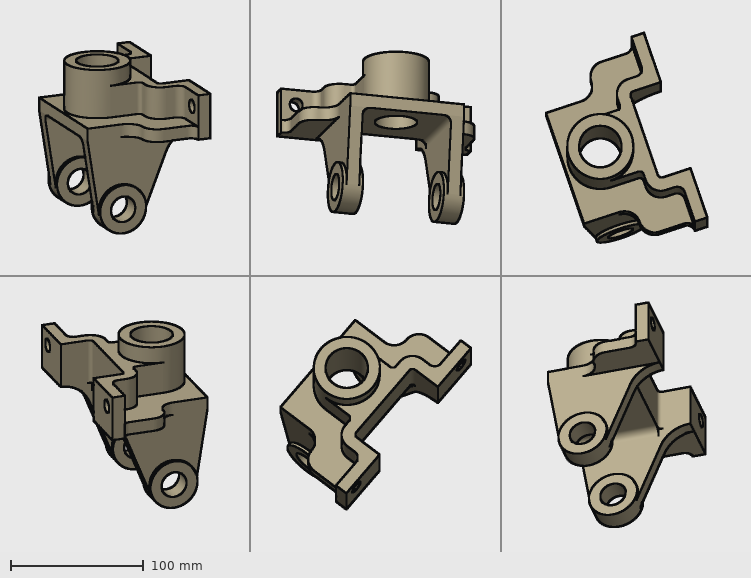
import cadquery as cq
import math


LENGTH = 150.0
DEPTH = 88.0
HEIGHT = 123.0

BOSS_DIAMETER = 50.0
BORE_DIAMETER = 32.0
BOSS_TOP = 48.0
BOSS_RADIUS = BOSS_DIAMETER / 2

THICKNESS = 10.0
WALL_TOP = 35.0
BACK_Y = 60.0
FRONT_Y = BACK_Y - DEPTH
FLANGE_FRONT_Y = BACK_Y - THICKNESS
HALF_LENGTH = LENGTH / 2
HALF_FRONT = 45.0
HALF_NOTCH = HALF_FRONT - THICKNESS
NOTCH_FLOOR_Y = BOSS_RADIUS + THICKNESS
LARGE_RADIUS = 12.0
MEDIUM_RADIUS = 6.0
SMALL_RADIUS = 3.0
EAR_X = HALF_LENGTH - MEDIUM_RADIUS
EAR_FRONT_Y = LARGE_RADIUS

MOUNT_HOLE_DIAMETER = 10.0
MOUNT_HOLE_X = 63.0
MOUNT_HOLE_Z = 23.1

LUG_DIAMETER = 38.0
LUG_HOLE_DIAMETER = 20.0
LUG_WIDTH = 16.0
LUG_RADIUS = LUG_DIAMETER / 2
LUG_Z = BOSS_TOP - HEIGHT + LUG_RADIUS
ARM_CENTER_X = HALF_FRONT - THICKNESS / 2
ARM_BACK_RADIUS = 25.0
ARM_FILLET = 6.0


def polar(radius, angle):
    """Offset of the given length at an angle in radians."""
    return radius * math.cos(angle), radius * math.sin(angle)


def both_sides(half):
    """Join a right-hand body with its mirror image across the YZ plane."""
    return half.union(half.mirror("YZ"))


def start_back_outline():
    """Begin a right-half plan outline: along the notch, the back and the flange end."""
    return (
        cq.Workplane("XY")
        .moveTo(0, NOTCH_FLOOR_Y)
        .lineTo(HALF_NOTCH - SMALL_RADIUS, NOTCH_FLOOR_Y)
        .tangentArcPoint((HALF_NOTCH, NOTCH_FLOOR_Y + SMALL_RADIUS), relative=False)
        .lineTo(HALF_NOTCH, BACK_Y)
        .lineTo(HALF_LENGTH, BACK_Y)
        .lineTo(HALF_LENGTH, FLANGE_FRONT_Y)
    )


def make_plate():
    """Base plate with an S-curved ear on each side."""
    half = (
        start_back_outline()
        .radiusArc((EAR_X, FLANGE_FRONT_Y - MEDIUM_RADIUS), -MEDIUM_RADIUS)
        .lineTo(EAR_X, EAR_FRONT_Y + LARGE_RADIUS)
        .tangentArcPoint((EAR_X - LARGE_RADIUS, EAR_FRONT_Y), relative=False)
        .radiusArc((HALF_FRONT, EAR_FRONT_Y - LARGE_RADIUS), -LARGE_RADIUS)
        .lineTo(HALF_FRONT, FRONT_Y)
        .lineTo(0, FRONT_Y)
        .close()
        .extrude(THICKNESS)
    )
    return both_sides(half)


def make_wall():
    """Raised wall that joins the boss to the two mounting flanges."""
    half = (
        start_back_outline()
        .lineTo(HALF_FRONT + MEDIUM_RADIUS, FLANGE_FRONT_Y)
        .tangentArcPoint((HALF_FRONT, FLANGE_FRONT_Y - MEDIUM_RADIUS), relative=False)
        .lineTo(HALF_FRONT, BOSS_RADIUS + LARGE_RADIUS)
        .tangentArcPoint((HALF_FRONT - LARGE_RADIUS, BOSS_RADIUS), relative=False)
        .lineTo(BOSS_RADIUS + SMALL_RADIUS, BOSS_RADIUS)
        .tangentArcPoint((BOSS_RADIUS, BOSS_RADIUS - SMALL_RADIUS), relative=False)
        .lineTo(BOSS_RADIUS, 0)
        .lineTo(0, 0)
        .close()
        .extrude(WALL_TOP)
    )
    return both_sides(half)


def make_arm_profile():
    """Side outline of an arm in (y, z): tangent to the lug at the front and the back."""
    corner_distance = math.hypot(FRONT_Y, LUG_Z)
    corner_angle = math.atan2(-LUG_Z, FRONT_Y)
    front_angle = corner_angle + math.acos(LUG_RADIUS / corner_distance)
    front_y, front_z = polar(LUG_RADIUS, front_angle)

    arc_y = BACK_Y
    arc_z = -ARM_BACK_RADIUS
    center_distance = math.hypot(arc_y, arc_z - LUG_Z)
    center_angle = math.atan2(arc_z - LUG_Z, arc_y)
    back_angle = center_angle - math.acos((LUG_RADIUS + ARM_BACK_RADIUS) / center_distance)
    back_y, back_z = polar(LUG_RADIUS, back_angle)
    arc_end_y, arc_end_z = polar(-ARM_BACK_RADIUS, back_angle)

    return (
        cq.Workplane("YZ")
        .moveTo(FRONT_Y, 0)
        .lineTo(front_y, LUG_Z + front_z)
        .lineTo(back_y, LUG_Z + back_z)
        .lineTo(arc_y + arc_end_y, arc_z + arc_end_z)
        .tangentArcPoint((BACK_Y, 0), relative=False)
        .close()
    )


def make_arms():
    """Two hanging arms."""
    arm = make_arm_profile().extrude(THICKNESS).translate((HALF_NOTCH, 0, 0))
    return both_sides(arm)


def make_arm_fillets():
    """Hollow fillets between the plate underside and the inner arm faces."""
    inner_x = HALF_NOTCH - ARM_FILLET
    fillet = (
        cq.Workplane("XZ", origin=(0, NOTCH_FLOOR_Y, 0))
        .moveTo(HALF_NOTCH, 0)
        .lineTo(inner_x, 0)
        .radiusArc((HALF_NOTCH, -ARM_FILLET), ARM_FILLET)
        .close()
        .extrude(NOTCH_FLOOR_Y - FRONT_Y)
    )
    arm_space = make_arm_profile().extrude(HALF_FRONT)
    return both_sides(fillet.intersect(arm_space))


def make_lugs(diameter):
    """Pair of cylinders along the pivot axis, one centred on each arm."""
    lug = (
        cq.Workplane("YZ", origin=(ARM_CENTER_X - LUG_WIDTH / 2, 0, LUG_Z))
        .circle(diameter / 2)
        .extrude(LUG_WIDTH)
    )
    return both_sides(lug)


def make_mount_holes():
    """Cutters for the bolt holes through the flanges."""
    hole = (
        cq.Workplane("XZ", origin=(MOUNT_HOLE_X, BACK_Y, MOUNT_HOLE_Z))
        .circle(MOUNT_HOLE_DIAMETER / 2)
        .extrude(THICKNESS)
    )
    return both_sides(hole)


boss = cq.Workplane("XY").circle(BOSS_RADIUS).extrude(BOSS_TOP)
bore = cq.Workplane("XY").circle(BORE_DIAMETER / 2).extrude(BOSS_TOP)

body = make_plate().union(make_wall()).union(boss)
body = body.union(make_arms()).union(make_arm_fillets()).union(make_lugs(LUG_DIAMETER))
result = body.cut(bore).cut(make_lugs(LUG_HOLE_DIAMETER)).cut(make_mount_holes())